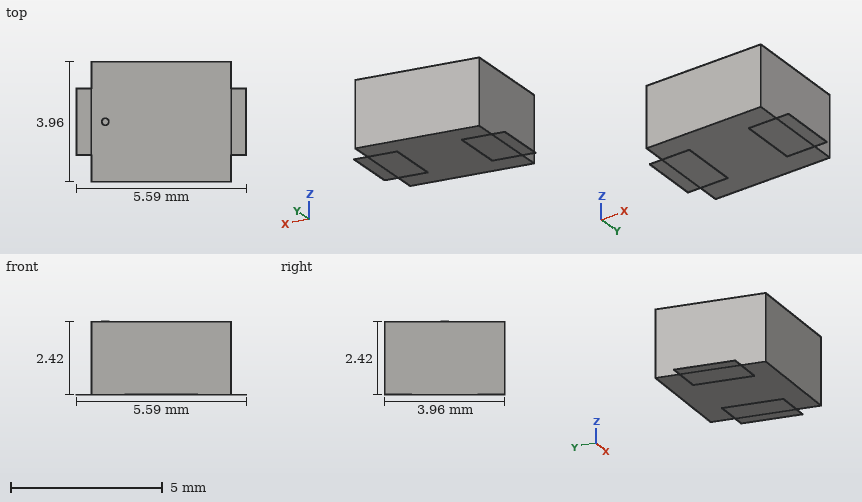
import cadquery as cq

overall_length = 5.59
overall_height = 2.42
body_length = 4.60
body_width = 3.96
terminal_length = 1.60
terminal_width = 2.20
terminal_thickness = 0.01
marker_diameter = 0.23
marker_thickness = 0.003
marker_inset = 0.46

body_top = overall_height - marker_thickness
body_height = body_top - terminal_thickness
terminal_offset = (overall_length - terminal_length) / 2
marker_x = -body_length / 2 + marker_inset


def make_body():
    """Plain block resting on the two terminals."""
    return (
        cq.Workplane("XY", origin=(0, 0, terminal_thickness))
        .rect(body_length, body_width)
        .extrude(body_height)
    )


def make_marker():
    """Pin-one dot, a very thin printed disc on top of the body."""
    return (
        cq.Workplane("XY", origin=(marker_x, 0, body_top))
        .circle(marker_diameter / 2)
        .extrude(marker_thickness)
    )


def make_terminal(side):
    """Flat contact strip under one end of the body; side is -1 or +1 along X."""
    return (
        cq.Workplane("XY", origin=(side * terminal_offset, 0, 0))
        .rect(terminal_length, terminal_width)
        .extrude(terminal_thickness)
    )


body = make_body()
marker = make_marker()
terminals = [make_terminal(side) for side in (-1, 1)]

result = cq.Compound.makeCompound(
    [body.val(), marker.val(), *[terminal.val() for terminal in terminals]]
)